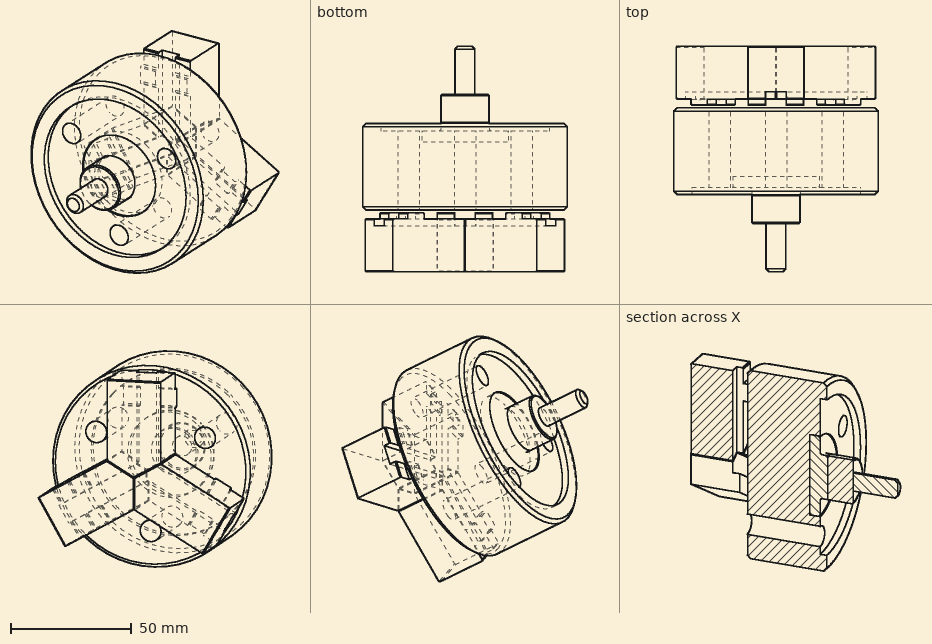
import cadquery as cq
import math


body_diameter = 85.0
body_length = 36.0
body_chamfer = 1.5
recess_diameter = 69.9
recess_depth = 3.0
bolt_hole_diameter = 9.0
bolt_circle_radius = 27.0

hub_diameter = 36.0
hub_edge_fillet = 1.0
hub_flange_thickness = 4.7
neck_diameter = 20.0
neck_root_fillet = 0.9
neck_projection = 0.4

collar_diameter = 20.0
collar_end = 12.0
collar_chamfer = 0.6
shaft_diameter = 8.3
shaft_chamfer = 1.2
overall_length = 93.5

jaw_count = 3
jaw_width = 23.0
jaw_outer_radius = 41.0
jaw_tip_radius = 0.3
jaw_rear = 39.55
jaw_depth = 22.0
jaw_end_chamfer = 0.5
slot_width = 8.4
slot_depth = 3.0
key_inner_radius = 26.1
key_radial_width = 7.95
key_height = 2.5
key_chamfer = 0.5

jaw_angle = 360 / jaw_count
jaw_front = jaw_rear + jaw_depth
hub_seat_depth = recess_depth + hub_flange_thickness
shaft_end = overall_length - jaw_front


def disc(diameter, y_start, y_end):
    """Cylinder on the Y axis between two Y positions."""
    return cq.Workplane("XZ", origin=(0, y_end, 0)).circle(diameter / 2).extrude(y_end - y_start)


def block(width, y_start, y_end, z_start, z_end):
    """Box centred on X, between two Y and two Z positions."""
    return (
        cq.Workplane("XY")
        .box(width, y_end - y_start, z_end - z_start, centered=(True, False, False))
        .translate((0, y_start, z_start))
    )


def make_body():
    """Chamfered drum with a rear recess, a seat for the hub and three through bolt holes."""
    body = disc(body_diameter, 0, body_length).edges().chamfer(body_chamfer)
    body = body.cut(disc(recess_diameter, 0, recess_depth))
    body = body.cut(disc(hub_diameter, recess_depth, hub_seat_depth))
    bolt_hole = disc(bolt_hole_diameter, 0, body_length).translate((0, 0, -bolt_circle_radius))
    for index in range(jaw_count):
        body = body.cut(bolt_hole.rotate((0, 0, 0), (0, 1, 0), index * jaw_angle))
    return body


def make_hub():
    """Flange level with the recess floor, blended into a neck that ends just past the body's rear face."""
    flange_radius = hub_diameter / 2
    neck_radius = neck_diameter / 2
    return (
        cq.Workplane("XY")
        .moveTo(0, hub_seat_depth)
        .lineTo(flange_radius, hub_seat_depth)
        .lineTo(flange_radius, recess_depth + hub_edge_fillet)
        .tangentArcPoint((flange_radius - hub_edge_fillet, recess_depth), relative=False)
        .lineTo(neck_radius + neck_root_fillet, recess_depth)
        .tangentArcPoint((neck_radius, recess_depth - neck_root_fillet), relative=False)
        .lineTo(neck_radius, -neck_projection)
        .lineTo(0, -neck_projection)
        .close()
        .revolve(360, (0, 0, 0), (0, 1, 0))
    )


def make_collar():
    return disc(collar_diameter, -collar_end, -neck_projection).faces("<Y").edges().chamfer(collar_chamfer)


def make_shaft():
    return disc(shaft_diameter, -shaft_end, -collar_end).faces("<Y").edges().chamfer(shaft_chamfer)


def make_jaw():
    """Top jaw pointing to +Z, with a wedge tip at the axis and a cross key under its rear face."""
    half_width = jaw_width / 2
    shoulder_radius = jaw_tip_radius + half_width / math.tan(math.radians(jaw_angle / 2))
    outline = [
        (0, jaw_tip_radius),
        (half_width, shoulder_radius),
        (half_width, jaw_outer_radius),
        (-half_width, jaw_outer_radius),
        (-half_width, shoulder_radius),
    ]
    jaw = cq.Workplane("XZ", origin=(0, jaw_front, 0)).polyline(outline).close().extrude(jaw_depth)
    jaw = jaw.faces(">Z").edges("|X").chamfer(jaw_end_chamfer)

    key_rear = jaw_rear - key_height
    key = block(jaw_width, key_rear, jaw_rear, key_inner_radius, key_inner_radius + key_radial_width)
    key = key.faces("<Y").edges("|X").chamfer(key_chamfer)

    slot = block(slot_width, key_rear, jaw_rear + slot_depth, 0, jaw_outer_radius)
    return jaw.union(key).cut(slot)


body = make_body()
hub = make_hub()
collar = make_collar()
shaft = make_shaft()
jaws = [make_jaw().rotate((0, 0, 0), (0, 1, 0), index * jaw_angle) for index in range(jaw_count)]

result = cq.Compound.makeCompound(
    [body.val(), hub.val(), collar.val(), shaft.val(), *[jaw.val() for jaw in jaws]]
)